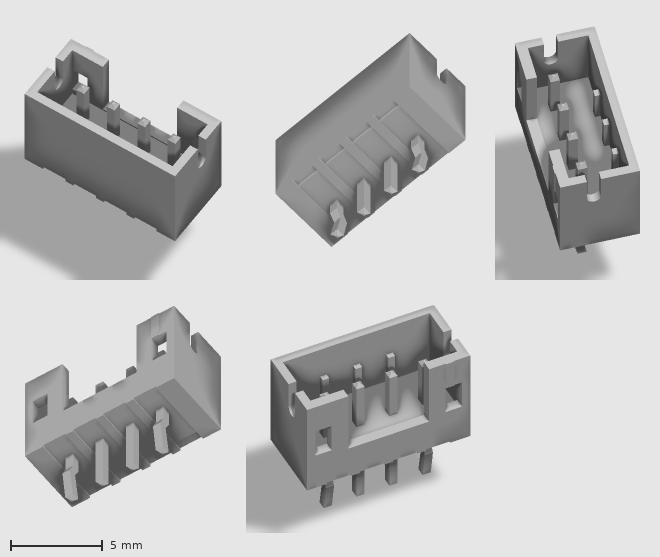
import cadquery as cq


pin_count = 4
pitch = 2.0
pin_y = 2.8
pin_width = 0.495
pin_depth = 0.53
pin_top = 5.01
pin_bottom = -3.4
tip_height = 0.2

kink_start = -0.89
kink_peak = -1.485
kink_front_shift = 0.33
kink_rear_shift = 0.29
kink_end_shift = 0.03

length = 9.9
depth = 4.5
height = 6.0
side_wall = 0.495
front_wall = 0.495
rear_wall = 0.6
floor_top = 2.0

rear_gap_width = 4.9
rear_gap_bottom = 2.1
window_width = 1.0
window_top = 4.2
window_bottom = 2.4

slot_width = 0.79
slot_y = 2.59
slot_depth = 2.0

rib_width = 0.4
rib_depth = 0.32
rib_top = 4.0

channel_width = 1.485
channel_height = 0.1
channel_mouth_height = 0.21
channel_slope_depth = 0.04

mark_x = -3.71
mark_width = 0.495
mark_thickness = 0.05

pin_positions = [(i - (pin_count - 1) / 2) * pitch for i in range(pin_count)]
cavity_length = length - 2 * side_wall
cavity_rear = depth - rear_wall


def box(x_center, x_size, y_min, y_max, z_min, z_max):
    """Block centred on x_center and spanning the given Y and Z ranges."""
    block = cq.Workplane("XY").box(x_size, y_max - y_min, z_max - z_min, centered=(True, False, False))
    return block.translate((x_center, y_min, z_min))


def make_shell():
    """Open-topped box with a gap and two windows in its rear wall."""
    shell = box(0, length, 0, depth, 0, height)
    shell = shell.cut(box(0, cavity_length, front_wall, cavity_rear, floor_top, height))
    shell = shell.cut(box(0, rear_gap_width, cavity_rear, depth, rear_gap_bottom, height))
    window_x = (cavity_length - window_width) / 2
    for x in (-window_x, window_x):
        shell = shell.cut(box(x, window_width, cavity_rear, depth, window_bottom, window_top))
    return shell


def make_end_slots():
    """One cutter that slots both end walls."""
    radius = slot_width / 2
    arc_z = height - slot_depth + radius
    return (
        cq.Workplane("YZ")
        .moveTo(slot_y - radius, height)
        .lineTo(slot_y - radius, arc_z)
        .threePointArc((slot_y, arc_z - radius), (slot_y + radius, arc_z))
        .lineTo(slot_y + radius, height)
        .close()
        .extrude(length / 2, both=True)
        .cut(box(0, cavity_length, 0, depth, 0, height))
    )


def make_channel(x):
    """Relief running front to back under one pin, taller where it passes beneath the front wall."""
    profile = [
        (0, 0),
        (0, channel_mouth_height),
        (front_wall, channel_mouth_height),
        (front_wall + channel_slope_depth, channel_height),
        (depth, channel_height),
        (depth, 0),
    ]
    channel = cq.Workplane("YZ").polyline(profile).close().extrude(channel_width / 2, both=True)
    return channel.translate((x, 0, 0))


def make_tip(shoulder_z, y, direction):
    """Blunt pin end with four 45-degree sides, pointing up (+1) or down (-1)."""
    return (
        cq.Workplane("XY", origin=(0, y, shoulder_z))
        .rect(pin_width, pin_depth)
        .workplane(offset=direction * tip_height)
        .rect(pin_width - 2 * tip_height, pin_depth - 2 * tip_height)
        .loft(ruled=True)
    )


def make_pin(x, kinked):
    """Rectangular pin with tapered ends; a kinked tail bows towards the rear."""
    shoulder_top = pin_top - tip_height
    shoulder_bottom = pin_bottom + tip_height
    front_y = pin_y - pin_depth / 2
    rear_y = pin_y + pin_depth / 2
    end_shift = kink_end_shift if kinked else 0
    front_edge = [(front_y, shoulder_top), (front_y + end_shift, shoulder_bottom)]
    rear_edge = [(rear_y + end_shift, shoulder_bottom), (rear_y, shoulder_top)]
    if kinked:
        front_edge[1:1] = [(front_y, kink_start), (front_y + kink_front_shift, kink_peak)]
        rear_edge[1:1] = [(rear_y + kink_rear_shift, kink_peak), (rear_y, kink_start)]
    shank = cq.Workplane("YZ").polyline(front_edge + rear_edge).close().extrude(pin_width / 2, both=True)
    pin = shank.union(make_tip(shoulder_top, pin_y, 1))
    pin = pin.union(make_tip(shoulder_bottom, pin_y + end_shift, -1))
    return pin.translate((x, 0, 0))


housing = make_shell().cut(make_end_slots())
for x in pin_positions:
    housing = housing.cut(make_channel(x))

for x in pin_positions[:-1]:
    rib_x = x + pitch / 2
    housing = housing.union(box(rib_x, rib_width, front_wall, front_wall + rib_depth, floor_top, rib_top))

housing = housing.union(box(mark_x, mark_width, depth, depth + mark_thickness, window_top, height))

result = housing
for index, x in enumerate(pin_positions):
    is_end_pin = index in (0, pin_count - 1)
    result = result.union(make_pin(x, is_end_pin))